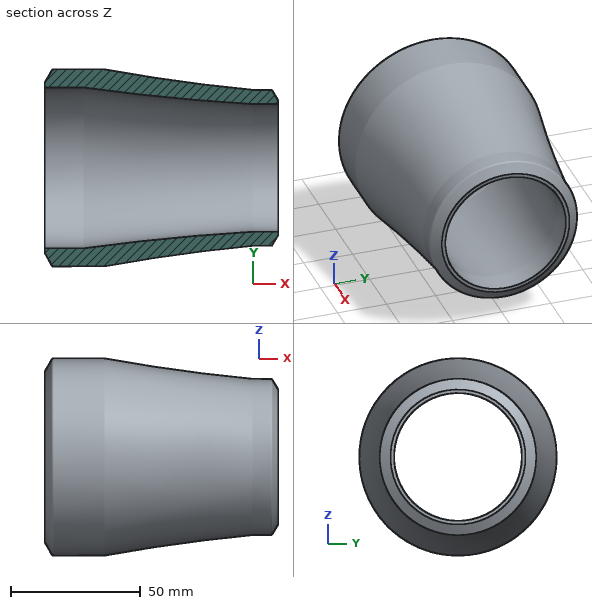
import cadquery as cq

length = 90.0
large_collar_end = 22.95
bore_taper_start = 15.0
small_collar_start = 80.1

large_outer_radius = 76.1 / 2
large_bore_radius = 61.9 / 2
small_outer_radius = 60.3 / 2
small_bore_radius = 49.1 / 2

large_bevel_length = 3.0
large_face_radius = 32.9
small_bevel_length = 2.5
small_face_radius = 26.0
bevel_fillet = 1.0
edge_tolerance = 0.1

taper_bow = 0.6


def taper_middle_point(start, large_radius, small_radius):
    """Point halfway along the taper, bowed towards the axis."""
    return (start + small_collar_start) / 2, (large_radius + small_radius) / 2 - taper_bow


def make_outer_body():
    """Solid of revolution with bevelled ends and a bowed taper between collars."""
    body = (
        cq.Workplane("XY")
        .lineTo(0, large_face_radius)
        .lineTo(large_bevel_length, large_outer_radius)
        .lineTo(large_collar_end, large_outer_radius)
        .threePointArc(
            taper_middle_point(large_collar_end, large_outer_radius, small_outer_radius),
            (small_collar_start, small_outer_radius),
        )
        .lineTo(length - small_bevel_length, small_outer_radius)
        .lineTo(length, small_face_radius)
        .lineTo(length, 0)
        .close()
        .revolve(360, (0, 0, 0), (1, 0, 0))
    )
    for station in (large_bevel_length, length - small_bevel_length):
        bevel_edge = cq.selectors.BoxSelector(
            (station - edge_tolerance, -length, -length),
            (station + edge_tolerance, length, length),
            boundingbox=True,
        )
        body = body.edges(bevel_edge).fillet(bevel_fillet)
    return body


def make_bore():
    """Through passage: straight at both ends, with a bowed taper between them."""
    return (
        cq.Workplane("XY")
        .lineTo(0, large_bore_radius)
        .lineTo(bore_taper_start, large_bore_radius)
        .threePointArc(
            taper_middle_point(bore_taper_start, large_bore_radius, small_bore_radius),
            (small_collar_start, small_bore_radius),
        )
        .lineTo(length, small_bore_radius)
        .lineTo(length, 0)
        .close()
        .revolve(360, (0, 0, 0), (1, 0, 0))
    )


result = make_outer_body().cut(make_bore())